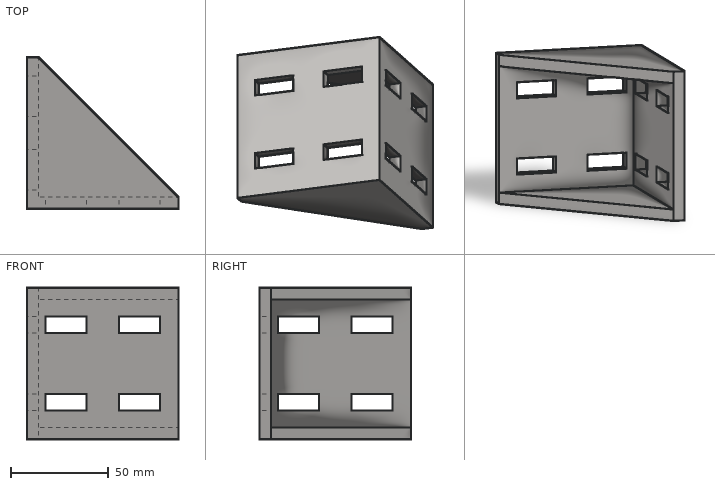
import cadquery as cq

side = 78.0
wall = 6.0
end_plate = 6.0
slot_length = 21.0
slot_height = 8.35
slot_spacing_along = 37.8
slot_spacing_up = 39.85

middle = side / 2
low = -middle
inner = low + wall


def right_angle_prism():
    """Solid envelope with a diagonal face joining the two wall tips."""
    outline = [
        (low, low),
        (middle, low),
        (middle, inner),
        (inner, middle),
        (low, middle),
    ]
    return cq.Workplane("XY").workplane(offset=low).polyline(outline).close().extrude(side)


def inner_cavity():
    """Space between the walls and end plates, open on the diagonal face."""
    cavity_size = side - wall
    cavity_height = side - 2 * end_plate
    return cq.Workplane("XY").box(cavity_size, cavity_size, cavity_height).translate(
        (wall / 2, wall / 2, 0)
    )


def wall_slots(plane):
    """Four slots through the wall parallel to the given plane."""
    return (
        cq.Workplane(plane)
        .rarray(slot_spacing_along, slot_spacing_up, 2, 2)
        .rect(slot_length, slot_height)
        .extrude(side, both=True)
    )


result = (
    right_angle_prism()
    .cut(inner_cavity())
    .cut(wall_slots("XZ"))
    .cut(wall_slots("YZ"))
)